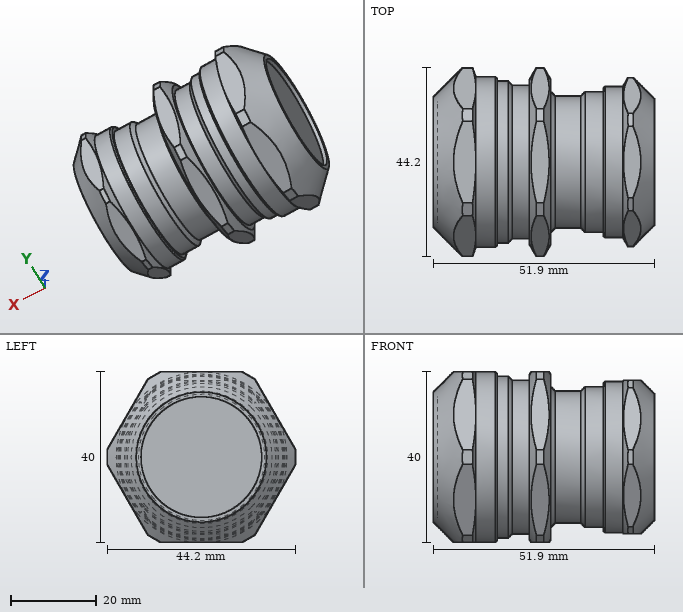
import cadquery as cq
import math


TOTAL_LENGTH = 51.87
CORNER_TRIM = 1.0
HALF_SIDE_ANGLE = 30.0

CAP_FLATS = 40.0
CAP_END = 10.0
CAP_FACE_DIAMETER = 30.5
CAP_BACK_ANGLE = 20.0
RECESS_DIAMETER = 28.3
RECESS_DEPTH = 1.0

MIDDLE_FLATS = 40.0
MIDDLE_START = 22.5
MIDDLE_END = 27.6
MIDDLE_FACE_DIAMETER = 38.5

LOCK_FLATS = 36.0
LOCK_START = 44.45
LOCK_FACE_DIAMETER = 29.6

NUT_CHAMFER_ANGLE = 30.0
OUTER_CONE_ANGLE = 45.0

SKIRT_DIAMETER = CAP_FLATS
SKIRT_END = 15.05
SKIRT_CHAMFER = 0.5
COLLAR_DIAMETER = 38.0
COLLAR_END = 18.5
NECK_DIAMETER = 36.1
WAIST_DIAMETER = 31.0
WAIST_START = 28.6
WAIST_END = 34.6
RING_DIAMETER = 33.0
RING_END = 39.9
SLEEVE_DIAMETER = 35.5
SLEEVE_CHAMFER = 0.4


def corner_radius(flats):
    """Distance from the axis to the trimmed corners of a hexagon."""
    return flats / math.sqrt(3) - CORNER_TRIM


def cone_length(radial_height, angle):
    """Axial length of a cone that rises by radial_height, angle taken from the end plane."""
    return radial_height * math.tan(math.radians(angle))


def revolve_profile(points):
    """Solid of revolution about X from (x, radius) points, closed along the axis."""
    first_x = points[0][0]
    last_x = points[-1][0]
    outline = [(first_x, 0), *points, (last_x, 0)]
    return cq.Workplane("XY").polyline(outline).close().revolve(360, (0, 0, 0), (1, 0, 0))


def hexagon_prism(flats, start, end):
    """Sharp hexagon prism along X with flats facing +Z and -Z."""
    corner_diameter = 2 * flats / math.sqrt(3)
    plane = cq.Workplane("YZ", origin=(start, 0, 0))
    return plane.polygon(6, corner_diameter).extrude(end - start)


def trimmed_hexagon(flats, start, end):
    """Hexagon prism with its six corners cut flat by a second hexagon turned half a side."""
    trimmer = hexagon_prism(2 * corner_radius(flats), start, end)
    trimmer = trimmer.rotate((0, 0, 0), (1, 0, 0), HALF_SIDE_ANGLE)
    return hexagon_prism(flats, start, end).intersect(trimmer)


def nut(flats, start, start_radius, start_angle, end, end_radius, end_angle):
    """Hexagon nut whose two ends are turned to cones."""
    turning_radius = corner_radius(flats) + CORNER_TRIM / 2
    turned = revolve_profile([
        (start, start_radius),
        (start + cone_length(turning_radius - start_radius, start_angle), turning_radius),
        (end - cone_length(turning_radius - end_radius, end_angle), turning_radius),
        (end, end_radius),
    ])
    return trimmed_hexagon(flats, start, end).intersect(turned)


def round_body():
    """Stepped turned body running from the cap nut into the lock nut."""
    skirt = SKIRT_DIAMETER / 2
    collar = COLLAR_DIAMETER / 2
    neck = NECK_DIAMETER / 2
    waist = WAIST_DIAMETER / 2
    ring = RING_DIAMETER / 2
    sleeve = SLEEVE_DIAMETER / 2
    waist_flare = WAIST_START - MIDDLE_END
    return revolve_profile([
        (CAP_END, skirt),
        (SKIRT_END - SKIRT_CHAMFER, skirt),
        (SKIRT_END, skirt - SKIRT_CHAMFER),
        (SKIRT_END, collar),
        (COLLAR_END - (collar - neck), collar),
        (COLLAR_END, neck),
        (MIDDLE_END, neck),
        (MIDDLE_END, waist + waist_flare),
        (WAIST_START, waist),
        (WAIST_END, waist),
        (WAIST_END + (ring - waist), ring),
        (RING_END, ring),
        (RING_END, sleeve - SLEEVE_CHAMFER),
        (RING_END + SLEEVE_CHAMFER, sleeve),
        (LOCK_START, sleeve),
    ])


def cap_recess():
    """Shallow round recess in the -X face."""
    return cq.Workplane("YZ").circle(RECESS_DIAMETER / 2).extrude(RECESS_DEPTH)


cap_nut = nut(
    CAP_FLATS, 0, CAP_FACE_DIAMETER / 2, OUTER_CONE_ANGLE,
    CAP_END, SKIRT_DIAMETER / 2, CAP_BACK_ANGLE,
)
middle_nut = nut(
    MIDDLE_FLATS, MIDDLE_START, MIDDLE_FACE_DIAMETER / 2, NUT_CHAMFER_ANGLE,
    MIDDLE_END, MIDDLE_FACE_DIAMETER / 2, NUT_CHAMFER_ANGLE,
)
lock_nut = nut(
    LOCK_FLATS, LOCK_START, SLEEVE_DIAMETER / 2, NUT_CHAMFER_ANGLE,
    TOTAL_LENGTH, LOCK_FACE_DIAMETER / 2, OUTER_CONE_ANGLE,
)

body = round_body().union(cap_nut).union(middle_nut).union(lock_nut)
result = body.cut(cap_recess())